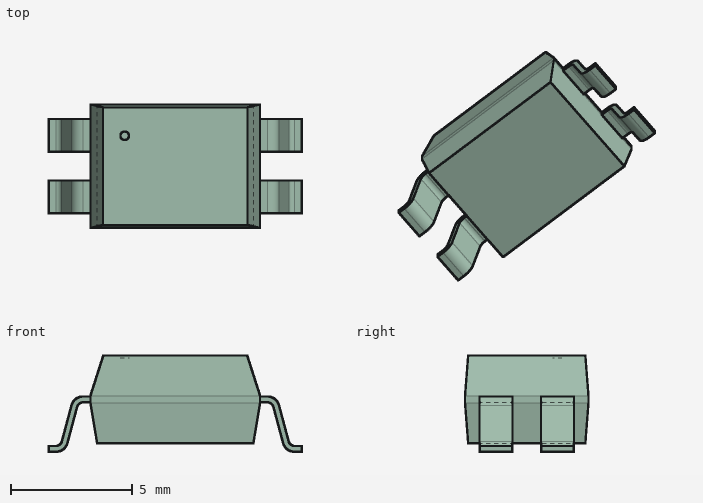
import cadquery as cq
import math

OVERALL_LENGTH = 10.46
OVERALL_HEIGHT = 3.99

BODY_LENGTH = 7.02
BODY_WIDTH = 5.11
STANDOFF = 0.35
BAND_HEIGHT = 0.3
TOP_INSET_X = 0.535
BOTTOM_INSET_X = 0.28
INSET_Y = 0.13

LEAD_THICKNESS = 0.25
LEAD_WIDTH = 1.36
LEAD_PITCH = 2.54
BEND_INNER_RADIUS = 0.25
LEG_ANGLE = math.radians(15)

MARKER_DIAMETER = 0.35
MARKER_DEPTH = 0.1
MARKER_FROM_END = 1.42
MARKER_FROM_SIDE = 1.30

taper_height = (OVERALL_HEIGHT - STANDOFF - BAND_HEIGHT) / 2
band_bottom = STANDOFF + taper_height
band_top = band_bottom + BAND_HEIGHT
lead_top = band_bottom + (BAND_HEIGHT + LEAD_THICKNESS) / 2


def tapered_block(start_z, end_z, inset_x):
    """Block that narrows from the band outline to a smaller rectangle."""
    return (
        cq.Workplane("XY", origin=(0, 0, start_z))
        .rect(BODY_LENGTH, BODY_WIDTH)
        .workplane(offset=end_z - start_z)
        .rect(BODY_LENGTH - 2 * inset_x, BODY_WIDTH - 2 * INSET_Y)
        .loft(ruled=True)
    )


def make_marker():
    """Disc whose upper face lies level with the top of the package."""
    marker_x = MARKER_FROM_END - BODY_LENGTH / 2
    marker_y = BODY_WIDTH / 2 - MARKER_FROM_SIDE
    return (
        cq.Workplane("XY", origin=(marker_x, marker_y, OVERALL_HEIGHT - MARKER_DEPTH))
        .circle(MARKER_DIAMETER / 2)
        .extrude(MARKER_DEPTH)
    )


def make_body(marker):
    """Package with the recess that holds the marker."""
    band = (
        cq.Workplane("XY", origin=(0, 0, band_bottom))
        .rect(BODY_LENGTH, BODY_WIDTH)
        .extrude(BAND_HEIGHT)
    )
    upper = tapered_block(band_top, OVERALL_HEIGHT, TOP_INSET_X)
    lower = tapered_block(band_bottom, STANDOFF, BOTTOM_INSET_X)
    return band.union(upper).union(lower).cut(marker)


def arc_point(center, radius, angle):
    """Point on a circle in the XZ plane, angle measured from +X toward +Z."""
    return (
        center[0] + radius * math.cos(angle),
        center[1] + radius * math.sin(angle),
    )


def make_lead(y_center):
    """Lead on the +X side: out of the band, down the leg, along the foot."""
    inner = BEND_INNER_RADIUS
    outer = inner + LEAD_THICKNESS
    root_x = BODY_LENGTH / 2
    tip_x = OVERALL_LENGTH / 2

    bend_drop = lead_top - 2 * outer
    leg_length = (bend_drop + (inner + outer) * math.sin(LEG_ANGLE)) / math.cos(LEG_ANGLE)
    bend_spacing = (inner + outer) * math.cos(LEG_ANGLE) + leg_length * math.sin(LEG_ANGLE)
    flat_length = (tip_x - root_x - bend_spacing) / 2

    shoulder = (root_x + flat_length, lead_top - outer)
    foot = (tip_x - flat_length, outer)

    up = math.pi / 2
    leg_side = LEG_ANGLE
    middle = (up + leg_side) / 2

    profile = (
        cq.Workplane("XZ", origin=(0, y_center + LEAD_WIDTH / 2, 0))
        .moveTo(root_x, lead_top)
        .lineTo(*arc_point(shoulder, outer, up))
        .threePointArc(arc_point(shoulder, outer, middle), arc_point(shoulder, outer, leg_side))
        .lineTo(*arc_point(foot, inner, leg_side + math.pi))
        .threePointArc(arc_point(foot, inner, middle + math.pi), arc_point(foot, inner, up + math.pi))
        .lineTo(tip_x, LEAD_THICKNESS)
        .lineTo(tip_x, 0)
        .lineTo(*arc_point(foot, outer, up + math.pi))
        .threePointArc(arc_point(foot, outer, middle + math.pi), arc_point(foot, outer, leg_side + math.pi))
        .lineTo(*arc_point(shoulder, inner, leg_side))
        .threePointArc(arc_point(shoulder, inner, middle), arc_point(shoulder, inner, up))
        .lineTo(root_x, lead_top - LEAD_THICKNESS)
        .close()
    )
    return profile.extrude(LEAD_WIDTH)


marker = make_marker()
body = make_body(marker)

leads = []
for y_center in (-LEAD_PITCH / 2, LEAD_PITCH / 2):
    lead = make_lead(y_center)
    leads.append(lead.val())
    leads.append(lead.mirror("YZ").val())

result = cq.Compound.makeCompound([body.val(), marker.val(), *leads])